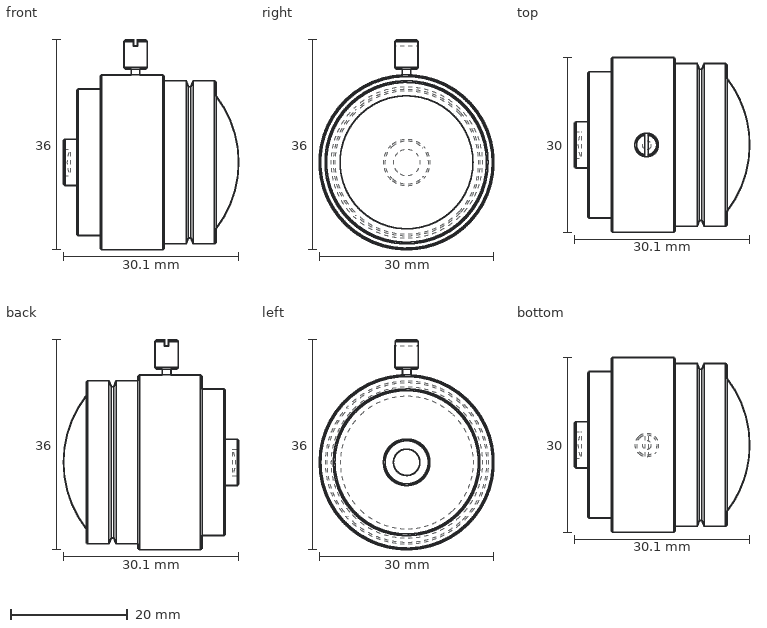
import cadquery as cq
import math

stub_end = 2.3
step_end = 6.3
body_end = 17.3
collar_end = 26.2
dome_tip = 30.1

stub_radius = 4.0
step_radius = 12.6
body_radius = 15.0
collar_radius = 14.0
dome_radius = 11.4
edge_chamfer = 0.3

groove_start = 21.05
groove_end = 22.3
groove_depth = 1.0
groove_floor_start = 21.45
groove_floor_end = 21.85

bore_radius = 2.25
bore_depth = 1.15
lens_height = 0.55

screw_x = 12.4
pin_radius = 0.75
head_radius = 2.0
head_bottom = 16.0
head_top = 21.0
slot_width = 0.65
slot_depth = 1.0


def chamfered_disc(start, end, radius, edges):
    """Disc along X with the selected end edges chamfered."""
    disc = cq.Workplane("YZ").workplane(offset=start).circle(radius).extrude(end - start)
    return disc.edges(edges).chamfer(edge_chamfer)


def make_dome(base, tip, radius):
    """Spherical cap on the X axis, from its flat base to its tip."""
    height = tip - base
    sphere_radius = (radius**2 + height**2) / (2 * abs(height))
    direction = 1 if height > 0 else -1
    center = tip - direction * sphere_radius
    half_angle = math.asin(radius / sphere_radius) / 2
    arc_middle = (
        center + direction * sphere_radius * math.cos(half_angle),
        sphere_radius * math.sin(half_angle),
    )
    profile = (
        cq.Workplane("XY")
        .moveTo(base, 0)
        .lineTo(base, radius)
        .threePointArc(arc_middle, (tip, 0))
        .close()
    )
    return profile.revolve(360, (0, 0, 0), (1, 0, 0))


def make_groove():
    """Ring with a V section and a narrow flat floor, to cut from the collar."""
    floor_radius = collar_radius - groove_depth
    profile = cq.Workplane("XY").polyline([
        (groove_start, collar_radius),
        (groove_floor_start, floor_radius),
        (groove_floor_end, floor_radius),
        (groove_end, collar_radius),
    ]).close()
    return profile.revolve(360, (0, 0, 0), (1, 0, 0))


def make_screw():
    """Slotted head on a thin pin that runs down to the barrel axis."""
    pin = cq.Workplane("XY").center(screw_x, 0).circle(pin_radius).extrude(head_bottom)
    head = (
        cq.Workplane("XY", origin=(screw_x, 0, head_bottom))
        .circle(head_radius)
        .extrude(head_top - head_bottom)
        .edges()
        .chamfer(edge_chamfer)
    )
    slot = (
        cq.Workplane("XY", origin=(screw_x, 0, head_top - slot_depth))
        .rect(slot_width, 2 * head_radius)
        .extrude(slot_depth)
    )
    return head.cut(slot).union(pin)


stub = chamfered_disc(0, stub_end, stub_radius, "<X")
step = chamfered_disc(stub_end, step_end, step_radius, "<X")
body = chamfered_disc(step_end, body_end, body_radius, "<X or >X")
collar = chamfered_disc(body_end, collar_end, collar_radius, ">X")
dome = make_dome(collar_end, dome_tip, dome_radius)
bore = cq.Workplane("YZ").circle(bore_radius).extrude(bore_depth)
lens = make_dome(bore_depth, bore_depth - lens_height, bore_radius)

result = (
    stub.cut(bore)
    .union(lens)
    .union(step)
    .union(body)
    .union(collar.cut(make_groove()))
    .union(dome)
    .union(make_screw())
)